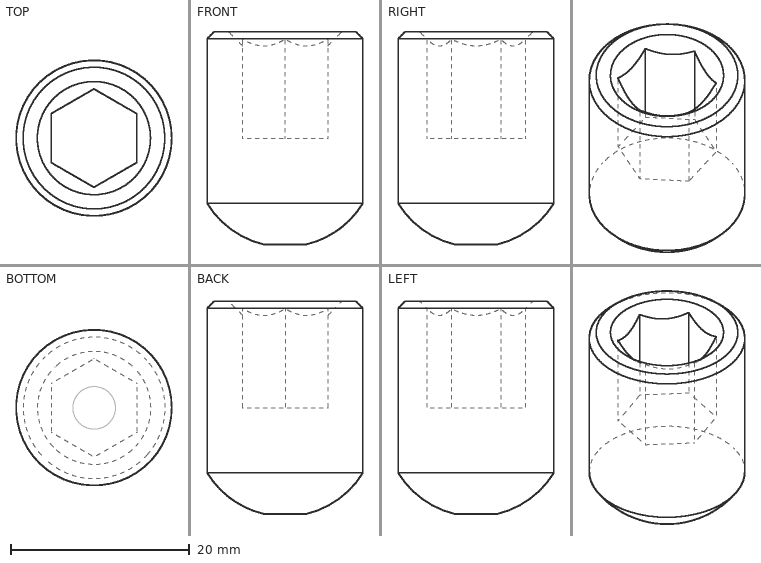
import cadquery as cq
import math

length = 23.83
body_radius = 8.72
rim_chamfer = 0.79
tip_height = 4.6
tip_flat_radius = 2.38

socket_across_flats = 9.53
socket_depth = 11.92
countersink_radius = 6.35


def make_body():
    """Revolved body: flat at the tip, spherical tip, cylinder and chamfered rim."""
    center_z = (body_radius**2 - tip_flat_radius**2 + tip_height**2) / (2 * tip_height)
    sphere_radius = math.hypot(tip_flat_radius, center_z)
    middle_x = (body_radius + tip_flat_radius) / 2
    arc_middle = (middle_x, center_z - math.sqrt(sphere_radius**2 - middle_x**2))
    profile = (
        cq.Workplane("XZ")
        .lineTo(tip_flat_radius, 0)
        .threePointArc(arc_middle, (body_radius, tip_height))
        .lineTo(body_radius, length - rim_chamfer)
        .lineTo(body_radius - rim_chamfer, length)
        .lineTo(0, length)
        .close()
    )
    return profile.revolve(360, (0, 0, 0), (0, 1, 0))


def make_socket():
    """Hexagonal socket with corners on the Y axis and flats facing X."""
    corner_diameter = socket_across_flats / math.cos(math.radians(30))
    return (
        cq.Workplane("XY", origin=(0, 0, length - socket_depth))
        .transformed(rotate=(0, 0, 90))
        .polygon(6, corner_diameter)
        .extrude(socket_depth)
    )


def make_countersink():
    """45 degree lead-in cone at the mouth of the socket."""
    return cq.Workplane(cq.Solid.makeCone(
        0, countersink_radius, countersink_radius,
        pnt=cq.Vector(0, 0, length - countersink_radius),
    ))


result = make_body().cut(make_socket()).cut(make_countersink())